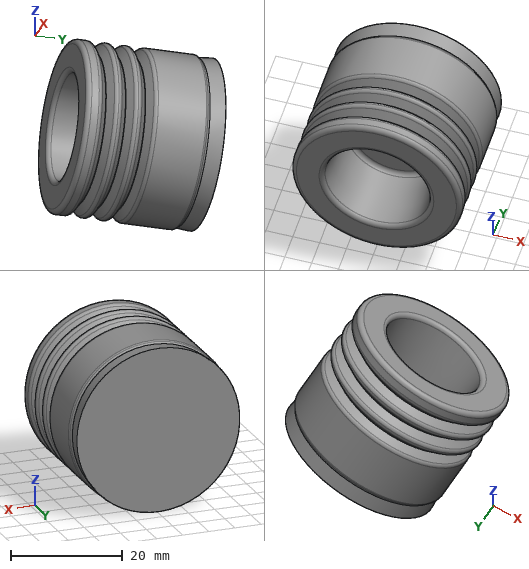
import cadquery as cq
import math

outer_radius = 15.8
length = 25.9
edge_round = 0.9

groove_count = 3
groove_pitch = 3.65
first_groove_y = 4.1
groove_root_radius = 13.85
root_flat_width = 0.1
flank_angle = math.radians(56)

shoulder_start_y = 22.25
shoulder_round_length = 0.35
shoulder_round_drop = 0.15
lip_start_y = 23.05
lip_root_radius = 15.35
lip_end_radius = 15.6

bore_depth = 12.0
bore_mouth_radius = 9.85
bore_floor_radius = 8.9
bore_round = 0.9
selection_margin = 0.32

root_half_width = root_flat_width / 2
crest_offset = groove_pitch / 2
flank_corner_offset = root_half_width + (outer_radius - groove_root_radius) / math.tan(flank_angle)
tangent_length = crest_offset - flank_corner_offset
crest_round = tangent_length / math.tan(flank_angle / 2)
flank_end_offset = flank_corner_offset - tangent_length * math.cos(flank_angle)
flank_end_radius = outer_radius - tangent_length * math.sin(flank_angle)
round_mid_offset = crest_offset - crest_round * math.sin(flank_angle / 2)
round_mid_radius = outer_radius - crest_round * (1 - math.cos(flank_angle / 2))


def add_groove(profile, groove_y):
    """Continue the profile from one crest down into a groove and up to the next crest."""
    return (
        profile.threePointArc(
            (round_mid_radius, groove_y - round_mid_offset),
            (flank_end_radius, groove_y - flank_end_offset),
        )
        .lineTo(groove_root_radius, groove_y - root_half_width)
        .lineTo(groove_root_radius, groove_y + root_half_width)
        .lineTo(flank_end_radius, groove_y + flank_end_offset)
        .threePointArc(
            (round_mid_radius, groove_y + round_mid_offset),
            (outer_radius, groove_y + crest_offset),
        )
    )


def make_body():
    """Solid of revolution with the grooves, shoulder and rear lip."""
    profile = (
        cq.Workplane("XY")
        .lineTo(outer_radius - edge_round, 0)
        .radiusArc((outer_radius, edge_round), -edge_round)
        .lineTo(outer_radius, first_groove_y - crest_offset)
    )
    for index in range(groove_count):
        profile = add_groove(profile, first_groove_y + index * groove_pitch)
    profile = (
        profile.lineTo(outer_radius, shoulder_start_y)
        .tangentArcPoint(
            (outer_radius - shoulder_round_drop, shoulder_start_y + shoulder_round_length),
            relative=False,
        )
        .tangentArcPoint((lip_root_radius, lip_start_y), relative=False)
        .lineTo(lip_end_radius, length)
        .lineTo(0, length)
        .close()
    )
    return profile.revolve(360, (0, 0), (0, 1))


def cut_bore(body):
    """Cut the tapered bore from the front, then round its mouth and floor edges."""
    bore = (
        cq.Workplane("XY")
        .lineTo(bore_mouth_radius, 0)
        .lineTo(bore_floor_radius, bore_depth)
        .lineTo(0, bore_depth)
        .close()
        .revolve(360, (0, 0), (0, 1))
    )
    reach = bore_mouth_radius + selection_margin
    bore_region = cq.selectors.BoxSelector(
        (-reach, -selection_margin, -reach),
        (reach, bore_depth + selection_margin, reach),
        boundingbox=True,
    )
    return body.cut(bore).edges("%CIRCLE").edges(bore_region).fillet(bore_round)


result = cut_bore(make_body())